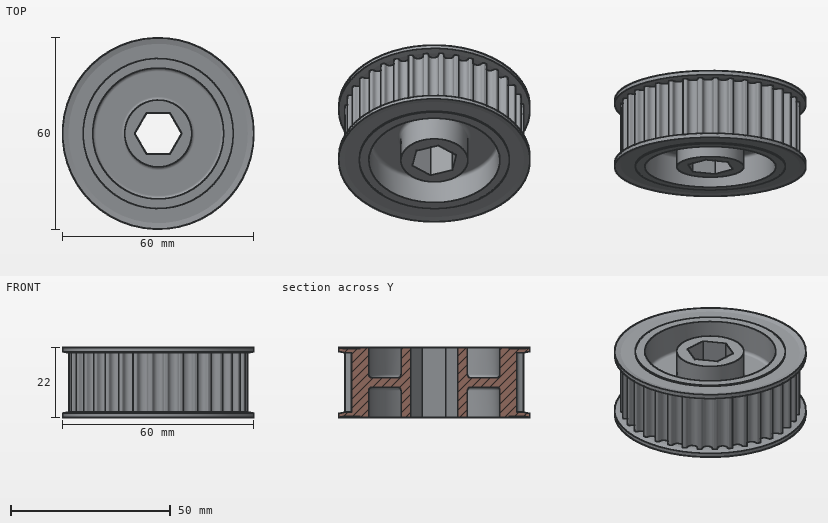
import cadquery as cq
import math

width = 22.0

tooth_count = 36
tooth_tip_radius = 28.1
groove_depth = 2.15
groove_floor_width = 0.3
groove_corner_radius = 1.4
flank_lean = 14.0
tooth_tip_round = 0.4

flange_radius = 30.0
flange_seat_radius = 23.5
flange_thickness = 1.4
lip_rise = 0.39

recess_radius = 20.5
hub_radius = 10.5
web_thickness = 3.0
recess_depth = (width - web_thickness) / 2
recess_fillet = 1.0

hex_across_flats = 12.7
hex_across_corners = hex_across_flats / math.cos(math.radians(30))


def make_groove():
    """Cutter for the groove on the +X side: flat floor, rounded corners, flaring flanks."""
    lean = math.radians(flank_lean)
    floor_x = tooth_tip_radius - groove_depth
    half_floor = groove_floor_width / 2
    corner_x = floor_x + groove_corner_radius

    def corner_point(angle):
        """Point on the corner arc, the angle measured from straight down to the floor."""
        return (
            corner_x - groove_corner_radius * math.cos(angle),
            half_floor + groove_corner_radius * math.sin(angle),
        )

    arc_end_angle = math.pi / 2 - lean
    arc_middle = corner_point(arc_end_angle / 2)
    flank_start = corner_point(arc_end_angle)
    flank_end = (
        flange_radius,
        flank_start[1] + (flange_radius - flank_start[0]) * math.tan(lean),
    )
    return (
        cq.Workplane("XY")
        .moveTo(floor_x, -half_floor)
        .lineTo(floor_x, half_floor)
        .threePointArc(arc_middle, flank_start)
        .lineTo(*flank_end)
        .lineTo(flank_end[0], -flank_end[1])
        .lineTo(flank_start[0], -flank_start[1])
        .threePointArc((arc_middle[0], -arc_middle[1]), (floor_x, -half_floor))
        .close()
        .extrude(width)
        .val()
    )


def make_toothed_body():
    """Cylinder with round-cornered grooves and rounded tooth tips."""
    groove = make_groove()
    pitch_angle = 360 / tooth_count
    body = cq.Workplane("XY").circle(tooth_tip_radius).extrude(width)
    grooves = [
        groove.rotate((0, 0, 0), (0, 0, 1), index * pitch_angle)
        for index in range(tooth_count)
    ]
    body = body.cut(cq.Workplane(cq.Compound.makeCompound(grooves)))
    mouth_limit = tooth_tip_radius - tooth_tip_round
    mouth_edges = body.edges("|Z").filter(
        lambda edge: math.hypot(edge.Center().x, edge.Center().y) > mouth_limit
    )
    return mouth_edges.fillet(tooth_tip_round)


def make_top_flange():
    """Ring around the top end, flat over the teeth with a lip sloping up to full width."""
    flat_top = width - lip_rise
    lip_bottom = width - flange_thickness
    return (
        cq.Workplane("XZ")
        .moveTo(flange_seat_radius, flat_top)
        .lineTo(tooth_tip_radius, flat_top)
        .lineTo(flange_radius, width)
        .lineTo(flange_radius, lip_bottom)
        .lineTo(tooth_tip_radius, lip_bottom - lip_rise)
        .lineTo(flange_seat_radius, lip_bottom - lip_rise)
        .close()
        .revolve(360, (0, 0, 0), (0, 1, 0))
    )


def make_top_flange_seat():
    """Material removed above the flange, outside the raised inner ring."""
    return (
        cq.Workplane("XY", origin=(0, 0, width - lip_rise))
        .circle(flange_radius)
        .circle(flange_seat_radius)
        .extrude(lip_rise)
    )


def make_top_recess():
    """Annular recess around the hub with filleted floor corners."""
    return (
        cq.Workplane("XY", origin=(0, 0, width - recess_depth))
        .circle(recess_radius)
        .circle(hub_radius)
        .extrude(recess_depth)
        .faces("<Z")
        .edges()
        .fillet(recess_fillet)
    )


def with_mirror(shape):
    """The shape together with its mirror image about mid-height."""
    return shape.union(shape.mirror("XY", (0, 0, width / 2)))


hex_bore = cq.Workplane("XY").polygon(6, hex_across_corners).extrude(width)

result = (
    make_toothed_body()
    .cut(with_mirror(make_top_flange_seat()))
    .union(with_mirror(make_top_flange()))
    .cut(with_mirror(make_top_recess()))
    .cut(hex_bore)
)